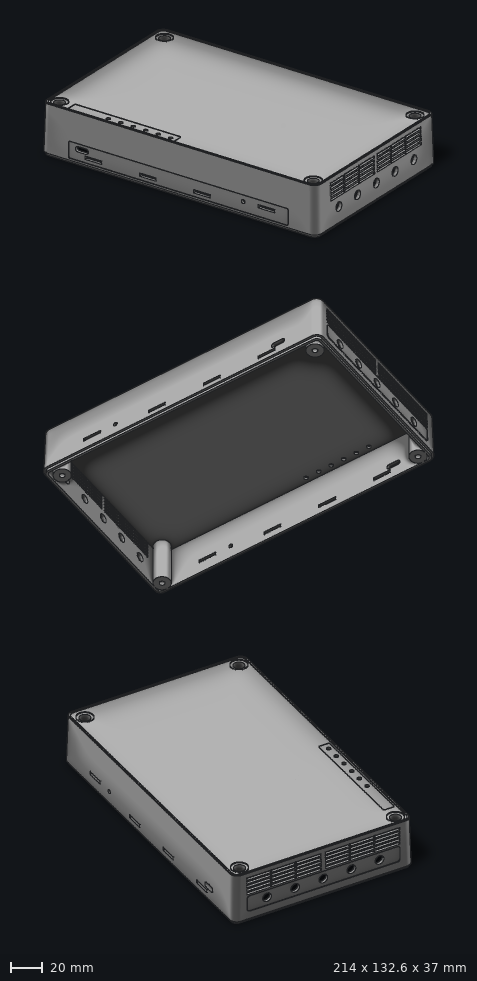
import cadquery as cq
import math

LENGTH = 214.0
WIDTH = 132.6
HEIGHT = 36.97
CORNER_RADIUS = 5.3
WALL = 3.0
ROOF = 2.5
DRAFT_ANGLE = 1.4
TOP_EDGE_CHAMFER = 0.4

LIP_HEIGHT = 2.2
LIP_INSET = 1.4

RIM_WIDTH = 1.4
ROOF_RECESS_DEPTH = 0.7

SCREW_PAIRS = [(97.1, 56.2), (98.3, -57.6)]
BOSS_RADIUS = 5.8
RING_DEPTH = 0.7
HEAD_BORE_RADIUS = 3.8
HEAD_SEAT_RADIUS = 3.3
HEAD_BORE_DEPTH = 6.0
SCREW_HOLE_RADIUS = 1.8

PANEL_DEPTH = 0.3

LED_PANEL_X = (-88.2, -6.0)
LED_PANEL_Y = (-62.9, -54.9)
LED_PANEL_CORNER = 1.0
LED_COUNT = 6
LED_FIRST_X = -59.2
LED_PITCH = 9.66
LED_Y = -59.6
LED_RADIUS = 1.4

PORT_PANEL_X = (-85.4, 84.6)
PORT_PANEL_Z = (3.5, 15.3)
PORT_PANEL_CORNER = 1.0
SLOT_LENGTH = 12.8
SLOT_HEIGHT = 2.2
LOW_SLOT_COUNT = 3
LOW_SLOT_FIRST_X = -66.6
LOW_SLOT_PITCH = 42.1
LOW_SLOT_Z = 6.9
HIGH_SLOT_X = 67.5
HIGH_SLOT_Z = 10.5
OVAL_PORT_X = -75.4
OVAL_PORT_Z = 11.3
OVAL_PORT_LENGTH = 9.9
OVAL_PORT_HEIGHT = 3.7
BUTTON_X = 49.6
BUTTON_RADIUS = 1.4

CONNECTOR_PANEL_Y = (-56.1, 56.1)
CONNECTOR_PANEL_Z = (7.5, 19.1)
CONNECTOR_PANEL_CORNER = 2.0
CONNECTOR_COUNT = 5
CONNECTOR_PITCH = 20.65
CONNECTOR_Z = 13.3
CONNECTOR_RADIUS = 3.15

VENT_ROWS = 5
VENT_TOP_Z = 32.2
VENT_PITCH = 2.73
VENT_HEIGHT = 1.5
VENT_INNER_Y = 1.6
NEAR_VENT_OUTER_Y = 56.1
FAR_VENT_OUTER_Y = 49.8
VENT_BAYS = 3
VENT_RIB_WIDTH = 1.2
VENT_RIB_THICKNESS = 1.5

ROOF_FACE_Z = HEIGHT - ROOF_RECESS_DEPTH
RING_FLOOR_Z = ROOF_FACE_Z - RING_DEPTH
CAVITY_TOP_Z = ROOF_FACE_Z - ROOF
INNER_WALL_X = LENGTH / 2 - WALL
SCREW_SPOTS = [(side * x, y) for x, y in SCREW_PAIRS for side in (-1, 1)]


def draft_inset(z):
    """How far the drafted outer wall has moved inward at height z."""
    return (z - LIP_HEIGHT) * math.tan(math.radians(DRAFT_ANGLE))


def rounded_block(inset, corner_radius, z_low, z_high):
    """Upright block with rounded corners, inset from the largest outline."""
    return (
        cq.Workplane("XY", origin=(0, 0, z_low))
        .rect(LENGTH - 2 * inset, WIDTH - 2 * inset)
        .extrude(z_high - z_low)
        .edges("|Z")
        .fillet(corner_radius)
    )


def box_between(x_range, y_range, z_range):
    """Axis-aligned box spanning three (low, high) ranges."""
    low, high = zip(x_range, y_range, z_range)
    size = [b - a for a, b in zip(low, high)]
    return cq.Workplane("XY").box(*size, centered=False).translate(low)


def pins(spots, radius, z_low, z_high):
    """Vertical cylinders at the given (x, y) spots."""
    return cq.Workplane("XY", origin=(0, 0, z_low)).pushPoints(spots).circle(radius).extrude(z_high - z_low)


def make_shell():
    """Drafted, hollow body with its bottom lip and roof recess."""
    body = (
        cq.Workplane("XY", origin=(0, 0, LIP_HEIGHT))
        .rect(LENGTH, WIDTH)
        .extrude(HEIGHT - LIP_HEIGHT, taper=DRAFT_ANGLE)
    )
    body = body.edges("not(|X or |Y)").fillet(CORNER_RADIUS)
    body = body.faces(">Z").edges().chamfer(TOP_EDGE_CHAMFER)
    lip = rounded_block(LIP_INSET, CORNER_RADIUS - LIP_INSET, 0, LIP_HEIGHT)
    cavity = rounded_block(WALL, CORNER_RADIUS - WALL, 0, CAVITY_TOP_Z)
    recess = rounded_block(draft_inset(HEIGHT) + RIM_WIDTH, CORNER_RADIUS - RIM_WIDTH, ROOF_FACE_Z, HEIGHT)
    return body.union(lip).cut(cavity).cut(recess)


def add_screw_bosses(shell):
    """Corner posts under the roof, each with a sunk ring, a tapered head bore and a screw hole."""
    posts = pins(SCREW_SPOTS, BOSS_RADIUS, 0, CAVITY_TOP_Z)
    rings = pins(SCREW_SPOTS, BOSS_RADIUS, RING_FLOOR_Z, ROOF_FACE_Z)
    holes = pins(SCREW_SPOTS, SCREW_HOLE_RADIUS, 0, HEIGHT)
    bore_taper = math.degrees(math.atan2(HEAD_BORE_RADIUS - HEAD_SEAT_RADIUS, HEAD_BORE_DEPTH))
    bores = (
        cq.Workplane("XY", origin=(0, 0, RING_FLOOR_Z))
        .pushPoints(SCREW_SPOTS)
        .circle(HEAD_BORE_RADIUS)
        .extrude(-HEAD_BORE_DEPTH, taper=bore_taper)
    )
    return shell.union(posts).cut(rings).cut(bores).cut(holes)


def cut_led_panel(shell):
    """Sunk label panel in the roof with a row of indicator holes."""
    panel = box_between(LED_PANEL_X, LED_PANEL_Y, (ROOF_FACE_Z - PANEL_DEPTH, ROOF_FACE_Z))
    panel = panel.edges("|Z").fillet(LED_PANEL_CORNER)
    spots = [(LED_FIRST_X + i * LED_PITCH, LED_Y) for i in range(LED_COUNT)]
    return shell.cut(panel).cut(pins(spots, LED_RADIUS, 0, HEIGHT))


def cut_port_panel(shell):
    """Sunk panel in the -Y wall, with slots, an oval port and a button hole."""
    floor_y = -WIDTH / 2 + draft_inset(PORT_PANEL_Z[1]) + PANEL_DEPTH
    panel = box_between(PORT_PANEL_X, (-WIDTH, floor_y), PORT_PANEL_Z)
    panel = panel.edges("|Y").fillet(PORT_PANEL_CORNER)
    slot_spots = [(LOW_SLOT_FIRST_X + i * LOW_SLOT_PITCH, LOW_SLOT_Z) for i in range(LOW_SLOT_COUNT)]
    slot_spots.append((HIGH_SLOT_X, HIGH_SLOT_Z))
    slots = cq.Workplane("XZ").pushPoints(slot_spots).rect(SLOT_LENGTH, SLOT_HEIGHT)
    oval = cq.Workplane("XZ").center(OVAL_PORT_X, OVAL_PORT_Z).slot2D(OVAL_PORT_LENGTH, OVAL_PORT_HEIGHT)
    button = cq.Workplane("XZ").center(BUTTON_X, HIGH_SLOT_Z).circle(BUTTON_RADIUS)
    shell = shell.cut(panel)
    for opening in (slots, oval, button):
        shell = shell.cut(opening.extrude(WIDTH, both=True))
    return shell


def cut_connector_panel(shell):
    """Sunk panel in the -X wall with a row of round connector holes."""
    floor_x = -LENGTH / 2 + draft_inset(CONNECTOR_PANEL_Z[1]) + PANEL_DEPTH
    panel = box_between((-LENGTH, floor_x), CONNECTOR_PANEL_Y, CONNECTOR_PANEL_Z)
    panel = panel.edges("|X").fillet(CONNECTOR_PANEL_CORNER)
    first_y = -(CONNECTOR_COUNT - 1) / 2 * CONNECTOR_PITCH
    spots = [(first_y + i * CONNECTOR_PITCH, CONNECTOR_Z) for i in range(CONNECTOR_COUNT)]
    holes = cq.Workplane("YZ").pushPoints(spots).circle(CONNECTOR_RADIUS).extrude(LENGTH, both=True)
    return shell.cut(panel).cut(holes)


def vent_slot(wall_x, rib_x, y_low, y_high, z):
    """One louvre slot through a wall, with material left for the ribs between its bays."""
    z_range = (z - VENT_HEIGHT / 2, z + VENT_HEIGHT / 2)
    slot = box_between(wall_x, (y_low, y_high), z_range)
    bay_width = (y_high - y_low) / VENT_BAYS
    for i in range(1, VENT_BAYS):
        rib_y = y_low + i * bay_width
        rib = box_between(rib_x, (rib_y - VENT_RIB_WIDTH / 2, rib_y + VENT_RIB_WIDTH / 2), z_range)
        slot = slot.cut(rib)
    return slot


def cut_vents(shell, wall_x, rib_x, outer_y):
    """Louvre rows through one end wall, on both sides of the middle."""
    for row in range(VENT_ROWS):
        z = VENT_TOP_Z - row * VENT_PITCH
        shell = shell.cut(vent_slot(wall_x, rib_x, -outer_y, -VENT_INNER_Y, z))
        shell = shell.cut(vent_slot(wall_x, rib_x, VENT_INNER_Y, outer_y, z))
    return shell


near_wall_x = (-LENGTH / 2, -INNER_WALL_X)
near_rib_x = (-INNER_WALL_X - VENT_RIB_THICKNESS, -INNER_WALL_X)
far_wall_x = (INNER_WALL_X, LENGTH / 2)
far_rib_x = (INNER_WALL_X, INNER_WALL_X + VENT_RIB_THICKNESS)

enclosure = make_shell()
enclosure = add_screw_bosses(enclosure)
enclosure = cut_led_panel(enclosure)
enclosure = cut_port_panel(enclosure)
enclosure = cut_connector_panel(enclosure)
enclosure = cut_vents(enclosure, near_wall_x, near_rib_x, NEAR_VENT_OUTER_Y)
enclosure = cut_vents(enclosure, far_wall_x, far_rib_x, FAR_VENT_OUTER_Y)

result = enclosure.solids()